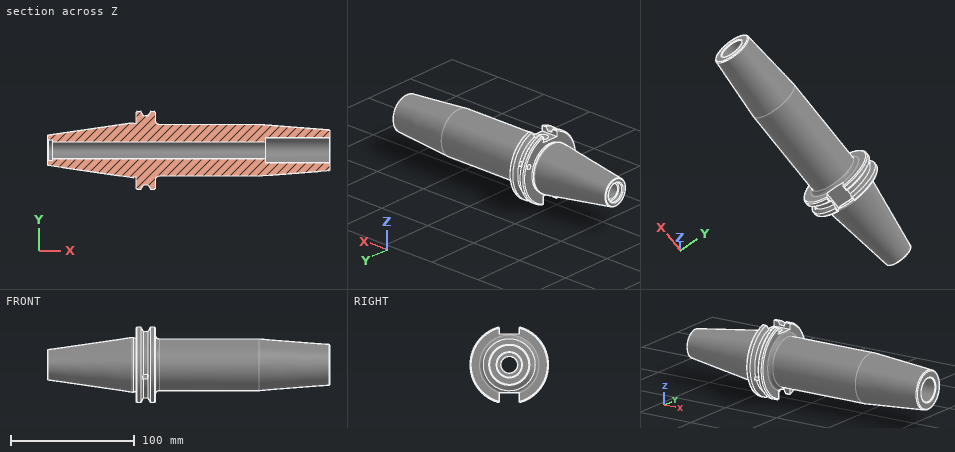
import cadquery as cq
import math


gauge_dia = 44.45
shank_length = 68.25
taper_ratio = 7 / 24
shank_chamfer = 0.5
gauge_land = 1.3
relief_dia = 43.6

flange_dia = 63.55
flange_front = 3.18
flange_width = 15.87
flange_chamfer = 1.0
groove_dia = 56.25
groove_floor_width = 3.75
groove_half_angle = 30

body_dia = 42
body_fillet = 3.0
total_length = 228.25
nose_cone_length = 57.2
nose_dia = 33.2
nose_chamfer = 0.8

slot_width = 16.1
slot_edge_chamfer = 0.7
top_slot_floor = 25.0
bottom_slot_floor = 22.6
dimple_dia = 9.53
drill_tip_angle = 118

through_dia = 13.39
shank_bore_dia = 16.3
shank_bore_depth = 4.0
shank_bore_mouth_dia = 17.9
tool_bore_dia = 20
tool_bore_depth = 52
tool_bore_mouth_dia = 21.2

coolant_dia = 4.2
coolant_circle_dia = 54
coolant_angle = 20
coolant_depth = 9.3

shank_end = -shank_length
nose_end = total_length - shank_length
flange_back = flange_front + flange_width
groove_center = flange_front + flange_width / 2
nose_cone_start = nose_end - nose_cone_length


def make_body():
    """Revolve the half outline of the taper, flange, body and nose about X."""
    gauge_r = gauge_dia / 2
    relief_r = relief_dia / 2
    flange_r = flange_dia / 2
    groove_r = groove_dia / 2
    body_r = body_dia / 2
    shank_end_r = gauge_r - shank_length * taper_ratio / 2
    nose_r = nose_dia / 2
    half_floor = groove_floor_width / 2
    groove_slope = math.tan(math.radians(groove_half_angle))
    half_mouth = half_floor + (flange_r - groove_r) * groove_slope
    arc_offset = body_fillet * (1 - math.sqrt(0.5))

    outline = (
        cq.Workplane("XY")
        .moveTo(shank_end, 0)
        .lineTo(shank_end, shank_end_r - shank_chamfer)
        .lineTo(shank_end + shank_chamfer, shank_end_r + shank_chamfer * taper_ratio / 2)
        .lineTo(0, gauge_r)
        .lineTo(gauge_land, gauge_r)
        .lineTo(gauge_land, relief_r)
        .lineTo(flange_front, relief_r)
        .lineTo(flange_front, flange_r - flange_chamfer)
        .lineTo(flange_front + flange_chamfer, flange_r)
        .lineTo(groove_center - half_mouth, flange_r)
        .lineTo(groove_center - half_floor, groove_r)
        .lineTo(groove_center + half_floor, groove_r)
        .lineTo(groove_center + half_mouth, flange_r)
        .lineTo(flange_back - flange_chamfer, flange_r)
        .lineTo(flange_back, flange_r - flange_chamfer)
        .lineTo(flange_back, body_r + body_fillet)
        .threePointArc(
            (flange_back + arc_offset, body_r + arc_offset),
            (flange_back + body_fillet, body_r),
        )
        .lineTo(nose_cone_start, body_r)
        .lineTo(nose_end - nose_chamfer, nose_r)
        .lineTo(nose_end, nose_r - nose_chamfer)
        .lineTo(nose_end, 0)
        .close()
    )
    return outline.revolve(360, (0, 0, 0), (1, 0, 0))


def make_bores():
    """Revolve the stepped bore that runs from the shank end to the nose."""
    mouth_step = (shank_bore_mouth_dia - shank_bore_dia) / 2
    tool_mouth_step = (tool_bore_mouth_dia - tool_bore_dia) / 2
    outline = (
        cq.Workplane("XY")
        .moveTo(shank_end, 0)
        .lineTo(shank_end, shank_bore_mouth_dia / 2)
        .lineTo(shank_end + mouth_step, shank_bore_dia / 2)
        .lineTo(shank_end + shank_bore_depth, shank_bore_dia / 2)
        .lineTo(shank_end + shank_bore_depth, through_dia / 2)
        .lineTo(nose_end - tool_bore_depth, through_dia / 2)
        .lineTo(nose_end - tool_bore_depth, tool_bore_dia / 2)
        .lineTo(nose_end - tool_mouth_step, tool_bore_dia / 2)
        .lineTo(nose_end, tool_bore_mouth_dia / 2)
        .lineTo(nose_end, 0)
        .close()
    )
    return outline.revolve(360, (0, 0, 0), (1, 0, 0))


def make_slot(floor_height, side):
    """Drive slot with flared mouth edges; side is +1 for +Z and -1 for -Z.

    It runs through the flange and on to the end of the fillet behind it.
    """
    half_width = slot_width / 2
    clear_height = flange_dia / 2 + slot_edge_chamfer
    rim_half_width = half_width + slot_edge_chamfer
    rim_height = math.sqrt((flange_dia / 2) ** 2 - rim_half_width**2)
    flare_start = rim_height - slot_edge_chamfer
    flare_half_width = half_width + clear_height - flare_start
    section = [
        (-half_width, side * floor_height),
        (half_width, side * floor_height),
        (half_width, side * flare_start),
        (flare_half_width, side * clear_height),
        (-flare_half_width, side * clear_height),
        (-half_width, side * flare_start),
    ]
    return (
        cq.Workplane("YZ", origin=(flange_front, 0, 0))
        .polyline(section)
        .close()
        .extrude(flange_width + body_fillet)
    )


def make_dimple():
    """Conical dimple in the floor of the +Z slot."""
    depth = dimple_dia / 2 / math.tan(math.radians(drill_tip_angle / 2))
    return cq.Workplane(
        cq.Solid.makeCone(
            dimple_dia / 2, 0, depth, cq.Vector(groove_center, 0, top_slot_floor), cq.Vector(0, 0, -1)
        )
    )


def make_coolant_hole(angle):
    """Axial hole in the front flange face, at an angle from +Y toward +Z."""
    radius = coolant_circle_dia / 2
    y = radius * math.cos(math.radians(angle))
    z = radius * math.sin(math.radians(angle))
    tip_length = coolant_dia / 2 / math.tan(math.radians(drill_tip_angle / 2))
    along = cq.Vector(1, 0, 0)
    start = cq.Vector(flange_front, y, z)
    shaft = cq.Solid.makeCylinder(coolant_dia / 2, coolant_depth, start, along)
    tip = cq.Solid.makeCone(coolant_dia / 2, 0, tip_length, start + along * coolant_depth, along)
    return cq.Workplane(shaft).union(cq.Workplane(tip))


result = make_body().cut(make_bores())
result = result.cut(make_slot(top_slot_floor, 1))
result = result.cut(make_slot(bottom_slot_floor, -1))
result = result.cut(make_dimple())
for hole_angle in (coolant_angle, coolant_angle + 180):
    result = result.cut(make_coolant_hole(hole_angle))